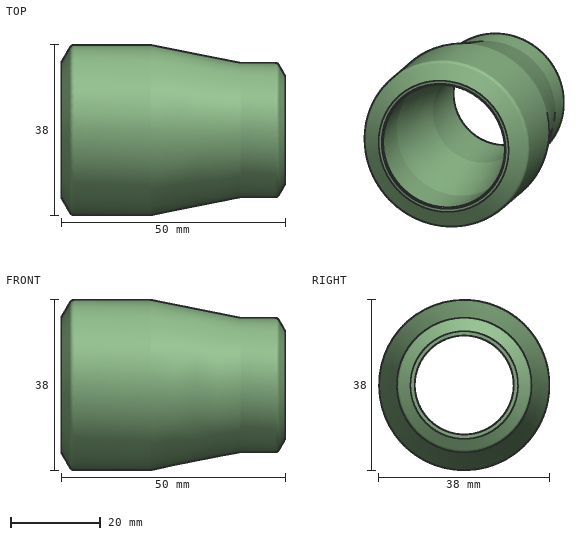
import cadquery as cq
import math


wide_length = 20.0
neck_length = 20.0
total_length = 50.0
wide_bore_length = 12.0
bore_taper_length = 20.0
neck_end = wide_length + neck_length
bore_taper_end = wide_bore_length + bore_taper_length

wide_radius = 38.0 / 2
narrow_radius = 30.0 / 2
wide_bore_radius = 28.0 / 2
narrow_bore_radius = 22.0 / 2

land_width = 1.0
bevel_angle = math.radians(30.0)

edge_round = 1.0
mouth_chamfer = 0.3

match_tolerance = 0.01

wide_land_radius = wide_bore_radius + land_width
narrow_land_radius = narrow_bore_radius + land_width
wide_bevel_end = (wide_radius - wide_land_radius) * math.tan(bevel_angle)
narrow_bevel_start = total_length - (narrow_radius - narrow_land_radius) * math.tan(bevel_angle)


def turned_body():
    """Revolve the half section, before its edges are rounded, about the X axis."""
    section = (
        cq.Workplane("XZ")
        .moveTo(mouth_chamfer, wide_bore_radius)
        .lineTo(0, wide_bore_radius + mouth_chamfer)
        .lineTo(0, wide_land_radius)
        .lineTo(wide_bevel_end, wide_radius)
        .lineTo(wide_length, wide_radius)
        .lineTo(neck_end, narrow_radius)
        .lineTo(narrow_bevel_start, narrow_radius)
        .lineTo(total_length, narrow_land_radius)
        .lineTo(total_length, narrow_bore_radius)
        .lineTo(bore_taper_end, narrow_bore_radius)
        .lineTo(wide_bore_length, wide_bore_radius)
        .close()
    )
    return section.revolve(360, (0, 0, 0), (1, 0, 0)).val()


def round_ring(solid, position, radius):
    """Round the circular edge of the given radius that lies at X = position."""
    rings = [
        edge
        for edge in solid.Edges()
        if edge.geomType() == "CIRCLE"
        and abs(edge.radius() - radius) < match_tolerance
        and abs(edge.Center().x - position) < match_tolerance
    ]
    return solid.fillet(edge_round, rings)


body = turned_body()
for position, radius in (
    (wide_bevel_end, wide_radius),
    (wide_length, wide_radius),
    (neck_end, narrow_radius),
    (narrow_bevel_start, narrow_radius),
):
    body = round_ring(body, position, radius)

result = cq.Workplane("XY").newObject([body])